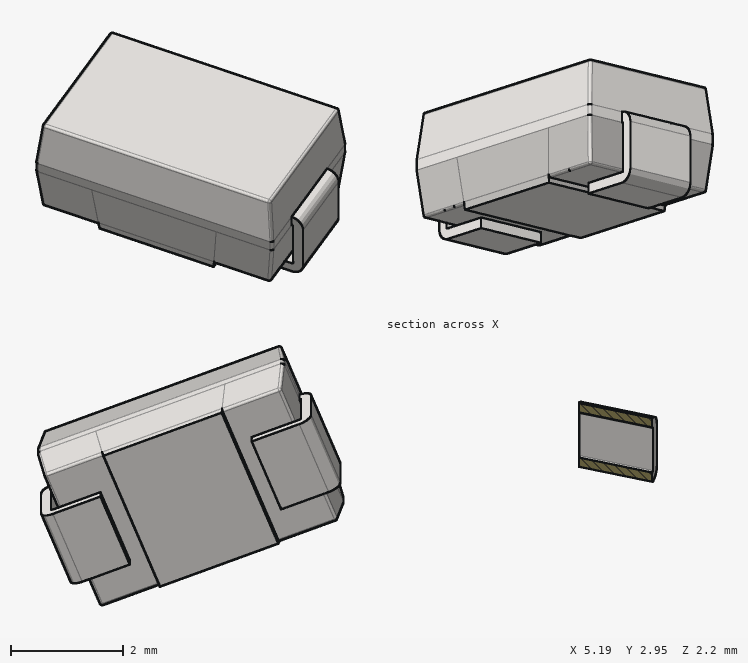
import cadquery as cq
import math

overall_length = 5.19
overall_height = 2.2

lead_thickness = 0.195
lead_width = 1.42
bend_inner_radius = 0.03
bend_outer_radius = bend_inner_radius + lead_thickness
foot_length = 1.14

housing_length = overall_length - 2 * bend_outer_radius
housing_width = 2.95
housing_bottom = 0.245
draft_angle = 6.0
edge_radius = 0.05
housing_height = overall_height - housing_bottom
belt_height = lead_thickness
half_height = (housing_height - belt_height) / 2
belt_bottom = housing_bottom + half_height
belt_top = belt_bottom + belt_height

pedestal_length = 2.48
pedestal_bottom = 0.145


def drafted_block(length, width, start_z, height):
    """Rectangular block that tapers away from start_z; a negative height goes downward."""
    inset = 2 * abs(height) * math.tan(math.radians(draft_angle))
    return (
        cq.Workplane("XY", origin=(0, 0, start_z))
        .rect(length, width)
        .workplane(offset=height)
        .rect(length - inset, width - inset)
        .loft(ruled=True)
    )


def make_housing():
    """Belt, two drafted halves with rounded edges, and the pedestal underneath."""
    belt = (
        cq.Workplane("XY", origin=(0, 0, belt_bottom))
        .rect(housing_length, housing_width)
        .extrude(belt_height)
    )
    upper_half = drafted_block(housing_length, housing_width, belt_top, half_height)
    lower_half = drafted_block(housing_length, housing_width, belt_bottom, -half_height)
    shell = belt.union(upper_half).union(lower_half)

    corner_edges = shell.edges("not #Z")
    end_edges = shell.faces("<Z or >Z").edges()
    shell = corner_edges.add(end_edges).fillet(edge_radius)

    pedestal_height = belt_bottom - pedestal_bottom
    pedestal = drafted_block(pedestal_length, housing_width, belt_bottom, -pedestal_height)
    return shell.union(pedestal, clean=False).solids()


def make_lead(side):
    """Strip leaving the housing end wall, bent down and then back under; side is -1 or 1."""
    wall_x = housing_length / 2
    outer_x = overall_length / 2
    inner_x = outer_x - lead_thickness
    foot_end_x = outer_x - foot_length
    bend_reach = bend_outer_radius * math.sqrt(0.5)
    inner_reach = bend_inner_radius * math.sqrt(0.5)
    upper_bend_z = belt_top - bend_outer_radius
    lower_bend_z = bend_outer_radius

    def point(x, z):
        return (side * x, z)

    return (
        cq.Workplane("XZ")
        .moveTo(*point(wall_x, belt_top))
        .threePointArc(
            point(wall_x + bend_reach, upper_bend_z + bend_reach),
            point(outer_x, upper_bend_z),
        )
        .lineTo(*point(outer_x, lower_bend_z))
        .threePointArc(
            point(wall_x + bend_reach, lower_bend_z - bend_reach),
            point(wall_x, 0),
        )
        .lineTo(*point(foot_end_x, 0))
        .lineTo(*point(foot_end_x, lead_thickness))
        .lineTo(*point(wall_x, lead_thickness))
        .threePointArc(
            point(wall_x + inner_reach, lower_bend_z - inner_reach),
            point(inner_x, lower_bend_z),
        )
        .lineTo(*point(inner_x, upper_bend_z))
        .threePointArc(
            point(wall_x + inner_reach, upper_bend_z + inner_reach),
            point(wall_x, belt_bottom),
        )
        .close()
        .extrude(lead_width / 2, both=True)
    )


housing = make_housing()
leads = [make_lead(side) for side in (-1, 1)]

result = cq.Compound.makeCompound([housing.val(), *[lead.val() for lead in leads]])